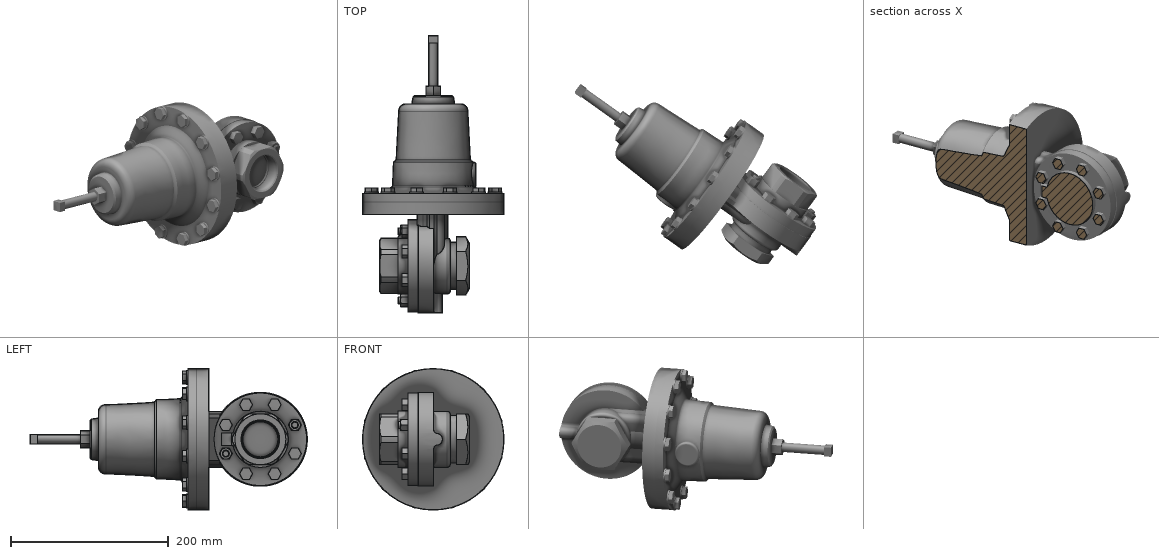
import cadquery as cq
import math


flange_radius = 89.66
flange_bottom = 65.2
flange_joint = 81.1
flange_top = 92.1
flare_slope = 33.0
flare_bend_radius = 2.7
skirt_bottom = 102.2
skirt_bottom_radius = 51.7
skirt_top_radius = 50.6
skirt_top = 131.6
shoulder_radius = 47.2
shoulder_top = 134.6
crown_radius = 44.0
crown_bottom = 196.1
crown_top = 205.6
cap_bottom_radius = 27.2
cap_edge_radius = 25.8
cap_top_radius = 23.6
cap_edge_height = 214.2
cap_top = 215.9

lock_nut_flats = 18.8
lock_nut_top = 228.2
spindle_diameter = 12.0
head_width = 12.2
head_bottom = 282.9
head_top = 292.02

vent_radius = 16.1
vent_height = 115.4
vent_face = 54.0
vent_edge_fillet = 2.5

flange_bolt_count = 12
flange_bolt_circle_radius = 81.3
flange_bolt_first_angle = 15.0
flange_bolt_corner_turn = -15.0
bolt_flats = 14.3
washer_radius = 8.9
washer_thickness = 1.9
flange_bolt_top = 98.9

inlet_end = -68.0
inlet_hex_end = -44.8
cover_face = -32.3
gasket_start = -19.4
body_start = -18.5
body_end = 0.6
boss_end = 21.8
union_nut_start = 29.3
union_nut_end = 46.0
cover_radius = 58.7
gasket_radius = 59.6
body_radius = 59.5
boss_radius = 35.6
boss_edge_fillet = 4.4
outlet_neck_radius = 30.2
port_flats = 64.4
inlet_chamfer_length = 1.7
turning_angle = 60.0
inlet_hex_radius = 35.2
union_nut_chamfer_length = 5.0
bore_radius = 23.2
bore_depth = 16.5
bore_chamfer = 1.3
bore_floor_radius = 22.2
bore_floor_depth = 19.2

cover_bolt_count = 8
cover_bolt_circle_radius = 47.4
cover_bolt_first_angle = 22.5
cover_bolt_head = 7.4
stud_positions = (3, 7)
stud_nut_height = 9.5
stud_nut_chamfer = 1.2
stud_length = 12.7
stud_radius = 4.4
stud_end_chamfer = 0.8

gusset_width = 16.0
gusset_outer = 49.3
gusset_inner = 34.0
gusset_flat_end = 36.8

neck_left = -20.6
neck_side_height = 32.3
neck_corner_radius = 7.8
neck_side_edge_height = 27.0
neck_crest_height = 35.5
neck_crest_left = -4.9
neck_crest_right = 1.1
neck_crest_foot_left = -7.9
neck_crest_foot_right = 4.8
neck_right = 14.3
neck_bulge = 18.5
neck_bulge_half_width = 11.5

lug_reach = 11.6
lug_radius = 7.5
lug_root_fillet = 4.5


def hexagon_points(across_flats, first_corner_angle):
    """Corners of a regular hexagon centred on the origin."""
    corner_radius = across_flats / math.sqrt(3)
    angles = [math.radians(first_corner_angle + 60 * i) for i in range(6)]
    return [(corner_radius * math.cos(a), corner_radius * math.sin(a)) for a in angles]


def plane_along_x(x, y=0, z=0):
    """Plane facing +X, with local axes along Y and Z."""
    return cq.Workplane(cq.Plane(origin=(x, y, z), xDir=(0, 1, 0), normal=(1, 0, 0)))


def plane_along_y(y, x=0, z=0):
    """Plane facing +Y, with local axes along X and -Z."""
    return cq.Workplane(cq.Plane(origin=(x, y, z), xDir=(1, 0, 0), normal=(0, 1, 0)))


def rod_along_x(start, end, radius, y=0, z=0):
    return plane_along_x(start, y, z).circle(radius).extrude(end - start)


def rod_along_y(start, end, radius, x=0, z=0):
    return plane_along_y(start, x, z).circle(radius).extrude(end - start)


def hex_along_x(start, end, across_flats, y=0, z=0):
    """Hexagonal prism with flats facing +Z and -Z."""
    corners = hexagon_points(across_flats, 0)
    return plane_along_x(start, y, z).polyline(corners).close().extrude(end - start)


def hex_along_y(start, end, across_flats, corner_angle, x=0, z=0):
    """Hexagonal prism with a corner at the given angle from +X toward +Z."""
    corners = hexagon_points(across_flats, -corner_angle)
    return plane_along_y(start, x, z).polyline(corners).close().extrude(end - start)


def turned_blank(back, front, radius, chamfer_length):
    """Round bar on the X axis, with its front end turned down to a cone."""
    toward_front = math.copysign(1, front - back)
    front_radius = radius - chamfer_length * math.tan(math.radians(turning_angle))
    profile = [
        (back, 0),
        (back, radius),
        (front - toward_front * chamfer_length, radius),
        (front, front_radius),
        (front, 0),
    ]
    return cq.Workplane("XY").polyline(profile).close().revolve(360, (0, 0, 0), (1, 0, 0))


def make_bonnet():
    slope = math.radians(flare_slope)
    bend_length = flare_bend_radius * math.tan(math.radians(90 - flare_slope) / 2)
    bend_corner = skirt_bottom - bend_length
    flare_top_radius = skirt_bottom_radius + bend_length * math.cos(slope)
    flare_top = bend_corner - bend_length * math.sin(slope)
    flare_foot_radius = skirt_bottom_radius + (bend_corner - flange_top) / math.tan(slope)
    crown_round = crown_top - crown_bottom
    profile = (
        cq.Workplane("XY")
        .moveTo(0, flange_joint)
        .lineTo(flange_radius, flange_joint)
        .lineTo(flange_radius, flange_top)
        .lineTo(flare_foot_radius, flange_top)
        .lineTo(flare_top_radius, flare_top)
        .radiusArc((skirt_bottom_radius, skirt_bottom), flare_bend_radius)
        .lineTo(skirt_top_radius, skirt_top)
        .lineTo(shoulder_radius, shoulder_top)
        .lineTo(crown_radius, crown_bottom)
        .radiusArc((crown_radius - crown_round, crown_top), -crown_round)
        .lineTo(cap_bottom_radius, crown_top)
        .lineTo(cap_edge_radius, cap_edge_height)
        .lineTo(cap_top_radius, cap_top)
        .lineTo(0, cap_top)
        .close()
    )
    bonnet = profile.revolve(360, (0, 0, 0), (0, 1, 0))
    lower_flange = rod_along_y(flange_bottom, flange_joint, flange_radius)
    vent = plane_along_x(0, vent_height).circle(vent_radius).extrude(vent_face)
    vent = vent.faces(">X").edges().fillet(vent_edge_fillet)
    return bonnet.union(lower_flange, clean=False).union(vent)


def make_spindle():
    rod = rod_along_y(cap_top, head_bottom, spindle_diameter / 2)
    nut = hex_along_y(cap_top, lock_nut_top, lock_nut_flats, 90)
    head = plane_along_y(head_bottom).rect(head_width, head_width).extrude(head_top - head_bottom)
    return rod.union(nut).union(head)


def add_flange_bolts(body):
    for i in range(flange_bolt_count):
        angle = flange_bolt_first_angle + i * 360 / flange_bolt_count
        x = flange_bolt_circle_radius * math.cos(math.radians(angle))
        z = flange_bolt_circle_radius * math.sin(math.radians(angle))
        washer = rod_along_y(flange_top, flange_top + washer_thickness, washer_radius, x, z)
        corner_angle = angle + flange_bolt_corner_turn
        head = hex_along_y(flange_top, flange_bolt_top, bolt_flats, corner_angle, x, z)
        body = body.union(washer).union(head)
    return body


def make_inlet_hex():
    """Hexagon with its corners turned down just below the collar radius."""
    turned = turned_blank(inlet_hex_end, inlet_end, inlet_hex_radius, inlet_chamfer_length)
    return hex_along_x(inlet_end, inlet_hex_end, port_flats).intersect(turned)


def make_union_nut():
    nut = hex_along_x(union_nut_start, union_nut_end, port_flats)
    corner_radius = port_flats / math.sqrt(3)
    turned = turned_blank(union_nut_start, union_nut_end, corner_radius, union_nut_chamfer_length)
    return nut.intersect(turned)


def make_valve_body():
    boss = rod_along_x(body_end, boss_end, boss_radius).faces(">X").edges().fillet(boss_edge_fillet)
    sections = (
        rod_along_x(inlet_hex_end, cover_face, boss_radius),
        rod_along_x(cover_face, gasket_start, cover_radius),
        rod_along_x(gasket_start, body_start, gasket_radius),
        rod_along_x(body_start, body_end, body_radius),
        boss,
        rod_along_x(boss_end, union_nut_start, outlet_neck_radius),
        make_union_nut(),
    )
    valve = make_inlet_hex()
    for section in sections:
        valve = valve.union(section)
    return valve


def make_gusset():
    profile = [
        (cover_face, gusset_inner),
        (inlet_hex_end, gusset_inner),
        (inlet_hex_end, gusset_flat_end),
        (cover_face, gusset_outer),
    ]
    return cq.Workplane("XY").polyline(profile).close().extrude(gusset_width / 2, both=True)


def make_neck():
    """Upright neck whose section is mirrored across the XY plane."""
    round_radius = neck_right - neck_crest_foot_right
    corner_drop = neck_side_height - neck_side_edge_height
    corner_run = math.sqrt(corner_drop * (2 * neck_corner_radius - corner_drop))
    half = (
        plane_along_y(0)
        .moveTo(neck_left, 0)
        .lineTo(neck_left, neck_side_edge_height)
        .radiusArc((neck_left + corner_run, neck_side_height), neck_corner_radius)
        .lineTo(neck_crest_foot_left, neck_side_height)
        .lineTo(neck_crest_left, neck_crest_height)
        .lineTo(neck_crest_right, neck_crest_height)
        .lineTo(neck_crest_foot_right, neck_side_height)
        .radiusArc((neck_right, neck_side_height - round_radius), round_radius)
        .lineTo(neck_right, 0)
        .close()
        .extrude(flange_bottom)
    )
    bulge = (
        plane_along_y(0)
        .moveTo(neck_right, -neck_bulge_half_width)
        .threePointArc((neck_bulge, 0), (neck_right, neck_bulge_half_width))
        .close()
        .extrude(flange_bottom)
    )
    return half.union(half.mirror("XY")).union(bulge)


def make_lug():
    """Rounded rib on the +X face of the body, blended into that face and flush with its rim."""
    center_x = lug_reach - lug_radius
    fillet_x = body_end + lug_root_fillet
    center_distance = lug_radius + lug_root_fillet
    fillet_z = math.sqrt(center_distance**2 - (fillet_x - center_x) ** 2)
    blend_x = center_x + (fillet_x - center_x) * lug_radius / center_distance
    blend_z = fillet_z * lug_radius / center_distance
    lug = (
        plane_along_y(-body_radius)
        .moveTo(0, -fillet_z)
        .lineTo(body_end, -fillet_z)
        .radiusArc((blend_x, -blend_z), lug_root_fillet)
        .threePointArc((lug_reach, 0), (blend_x, blend_z))
        .radiusArc((body_end, fillet_z), lug_root_fillet)
        .lineTo(0, fillet_z)
        .close()
        .extrude(body_radius)
    )
    return lug.intersect(rod_along_x(0, lug_reach, body_radius))


def add_cover_bolts(body):
    for i in range(cover_bolt_count):
        angle = math.radians(cover_bolt_first_angle + i * 360 / cover_bolt_count)
        y = cover_bolt_circle_radius * math.cos(angle)
        z = cover_bolt_circle_radius * math.sin(angle)
        if i in stud_positions:
            nut_end = cover_face - stud_nut_height
            nut = hex_along_x(nut_end, cover_face, bolt_flats, y, z)
            turned = rod_along_x(nut_end, cover_face, bolt_flats / math.sqrt(3), y, z)
            nut = nut.intersect(turned.faces("<X").chamfer(stud_nut_chamfer))
            stud = rod_along_x(cover_face - stud_length, cover_face, stud_radius, y, z)
            stud = stud.faces("<X").chamfer(stud_end_chamfer)
            body = body.union(nut).union(stud)
        else:
            body = body.union(hex_along_x(cover_face - cover_bolt_head, cover_face, bolt_flats, y, z))
    return body


def cut_inlet_bore(body):
    profile = (
        cq.Workplane("XY")
        .moveTo(inlet_end, 0)
        .lineTo(inlet_end, bore_radius + bore_chamfer)
        .lineTo(inlet_end + bore_chamfer, bore_radius)
        .lineTo(inlet_end + bore_depth, bore_radius)
        .lineTo(inlet_end + bore_depth, bore_floor_radius)
        .lineTo(inlet_end + bore_floor_depth, bore_floor_radius)
        .lineTo(inlet_end + bore_floor_depth, 0)
        .close()
    )
    return body.cut(profile.revolve(360, (0, 0, 0), (1, 0, 0)))


regulator = make_valve_body().union(make_gusset()).union(make_neck()).union(make_lug())
regulator = add_cover_bolts(regulator)
regulator = cut_inlet_bore(regulator)
result = regulator.union(add_flange_bolts(make_bonnet())).union(make_spindle())